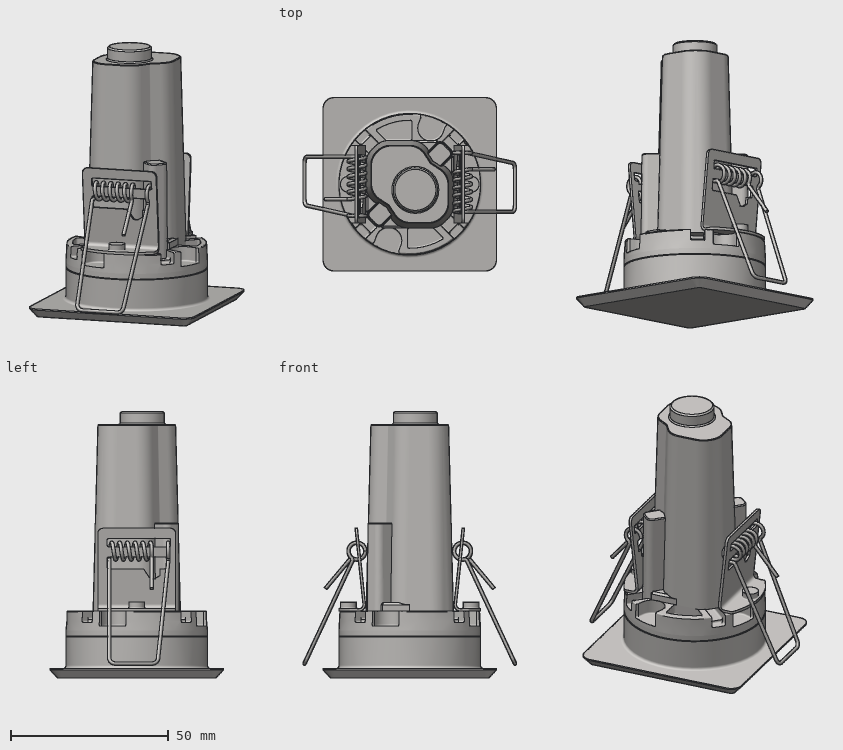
import cadquery as cq
import math

flange_size = 55.0
flange_top = 3.0
flange_edge = 0.4
flange_slope_run = 2.45
flange_corner = 3.55
ring_radius = 22.5
ring_foot_fillet = 0.9
seam_height = 13.1
seam_width = 0.25
seam_depth = 0.2
collar_height = 15.0
deck = 21.2
deck_radius = 22.1
deck_fillet = 0.3

column_top = 80.4
column_half = 12.3
column_base_half = 13.9
column_round = 5.8
column_flat_start = 9.1
notch_start = 3.1
notch_vertex = 6.8
notch_round = 0.5
notch_zone = 8.45
column_edge = 0.25
knob_offset = 1.8
knob_radius = 7.0
knob_edge = 0.5
knob_foot = 0.4
total_height = 84.5

pillar_width = 6.1
pillar_reach = 16.7
pillar_inner = 6.8
pillar_top = 49.2
pillar_draft = 0.5
pillar_round = 1.8
pillar_edge = 0.3
block_top = 23.9
block_end = 8.6
block_edge = 0.7

gate_width = 4.6
gate_floor = 17.7
gate_fillet = 0.6
gate_sill = 18.6
gate_step_radius = 19.6
gate_inner_radius = 15.2
scoop_radius = 4.1
scoop_centre_radius = 19.0
scoop_flare_radius = 20.95
scoop_mouth_half = 4.7
scoop_angle = 249.5
scoop_floor = 16.5
scoop_fillet = 0.5
tray_floor = 17.75
tray_outer_radius = 20.3
tray_start = -0.7
tray_diagonal = 6.3
tray_fillet = 0.5
tray_floor_fillet = 0.4

sheet = 0.85
bracket_half = 12.3
bracket_tilt = 6.0
bracket_foot = 14.2
bracket_top = 47.5
bracket_corner = 1.7
bend_inner = 1.2
window_half = 9.4
window_bottom = 34.65
bar_bottom = 38.45
bar_top = 41.6
window_top = 44.3
window_corner = 0.6
hook_slot_end = 10.7
bracket_foot_corner = 0.85
window_depth = 5.1
arm_notch_outline = [
    (-2.1, 34.65),
    (-4.3, 31.4),
    (-5.7, 31.4),
    (-7.4, 32.5),
    (-7.4, 34.65),
]
stud_place = 19.4
stud_radius = 2.5
stud_top = 24.1
stud_fillet = 0.3

wire_radius = 0.55
coil_x = -16.7
coil_z = 40.2
coil_radius = 2.66
coil_start_y = 8.7
coil_end_y = -4.7
coil_pitch = 2.45
coil_turns = 6
loop_angle = 155
arm_angle = 140
arm_length = 15.5
loop_length = 39.3
loop_low_y = -6.6
loop_corner = 1.95
hook_y = -10.0
hook_end_angle = -90
knee_radius = 1.0
coil_step = 30


def turned(body, angle):
    """Body turned about the vertical axis of the lamp."""
    return body.rotate((0, 0, 0), (0, 0, 1), angle)


def make_base():
    flange = (
        cq.Workplane("XY")
        .rect(flange_size, flange_size)
        .extrude(flange_top)
        .edges("|Z")
        .fillet(flange_corner)
        .faces("<Z")
        .chamfer(flange_top - flange_edge, flange_slope_run)
    )
    foot_top = flange_top + ring_foot_fillet
    groove = ring_radius - seam_depth
    ring = (
        cq.Workplane("XZ")
        .lineTo(ring_radius + ring_foot_fillet, 0)
        .lineTo(ring_radius + ring_foot_fillet, flange_top)
        .radiusArc((ring_radius, foot_top), ring_foot_fillet)
        .lineTo(ring_radius, seam_height)
        .lineTo(groove, seam_height)
        .lineTo(groove, seam_height + seam_width)
        .lineTo(ring_radius, seam_height + seam_width)
        .lineTo(ring_radius, collar_height)
        .lineTo(deck_radius, deck)
        .lineTo(0, deck)
        .close()
        .revolve(360, (0, 0, 0), (0, 1, 0))
        .faces(">Z")
        .edges()
        .fillet(deck_fillet)
    )
    return flange.union(ring)


def make_column():
    """Tapered column: a square with two flattened corners and two notched ones, all rounded."""
    top = column_half
    base = column_base_half
    height = column_top - deck
    draft = math.degrees(math.atan((base - top) / height))
    flat = column_flat_start
    column = (
        cq.Workplane("XY", origin=(0, 0, deck))
        .polyline([(base, base), (-flat, base), (-base, flat), (-base, -base), (flat, -base), (base, -flat)])
        .close()
        .extrude(height, taper=draft)
    )
    notch_side = 2 * notch_start - notch_vertex
    notch_far = 2 * top - notch_vertex
    notch = (
        cq.Workplane("XY", origin=(0, 0, column_top))
        .polyline([
            (notch_vertex, notch_vertex),
            (notch_far, notch_side),
            (notch_far, notch_far),
            (notch_side, notch_far),
        ])
        .close()
        .extrude(-height, taper=draft)
    )
    column = column.cut(notch).cut(turned(notch, 180))
    notch_bottoms = cq.selectors.BoxSelector(
        (-notch_zone, -notch_zone, deck), (notch_zone, notch_zone, column_top)
    )
    upright = cq.selectors.StringSyntaxSelector("not #Z")
    column = (
        column.edges(upright - notch_bottoms)
        .fillet(column_round)
        .edges(upright & notch_bottoms)
        .fillet(notch_round)
        .faces(">Z")
        .chamfer(column_edge)
    )
    knob = (
        cq.Workplane("XY", origin=(knob_offset, -knob_offset, column_top))
        .circle(knob_radius)
        .extrude(total_height - column_top)
        .faces(">Z")
        .chamfer(knob_edge)
    )
    foot = (
        cq.Workplane("XY", origin=(knob_offset, -knob_offset, column_top))
        .circle(knob_radius + knob_foot)
        .workplane(offset=knob_foot)
        .circle(knob_radius)
        .loft()
    )
    return column.union(knob).union(foot)


def make_pillar():
    """Pillar in the notch toward +X +Y; built along +X, then turned onto the diagonal."""
    length = pillar_reach - pillar_inner
    outline = cq.Sketch().rect(length, pillar_width).vertices(">X").fillet(pillar_round)
    pillar = (
        cq.Workplane("XY", origin=(pillar_inner + length / 2, 0, pillar_top))
        .placeSketch(outline)
        .extrude(gate_floor - pillar_top, taper=-pillar_draft)
        .faces(">Z")
        .chamfer(pillar_edge)
    )
    return turned(pillar, 45)


def make_corner_block():
    """Low filling on both sides of the pillar, flush with the column's base."""
    side = column_base_half
    return (
        cq.Workplane("XY", origin=(0, 0, deck))
        .polyline([(0, 0), (side, 0), (side, block_end), (block_end, side), (0, side)])
        .close()
        .extrude(block_top - deck)
        .faces(">Z")
        .chamfer(block_edge)
    )


def make_gate():
    """Stepped diagonal notch through the rim, cut along +X and turned into place."""
    depth = deck - gate_floor
    inner_length = gate_step_radius - gate_inner_radius
    outer_length = ring_radius - gate_step_radius
    inner = (
        cq.Workplane("XY", origin=(gate_inner_radius, 0, gate_sill))
        .rect(2 * inner_length, gate_width)
        .extrude(depth)
        .faces("<Z")
        .edges("|X")
        .fillet(gate_fillet)
    )
    outer = (
        cq.Workplane("XY", origin=(gate_step_radius + outer_length, 0, gate_floor))
        .rect(2 * outer_length, gate_width)
        .extrude(depth)
        .faces("<Z")
        .edges("not >X")
        .fillet(gate_fillet)
    )
    return turned(inner.union(outer), 45)


def make_scoop():
    """Round pocket whose outer side opens through the rim."""
    depth = deck - scoop_floor
    throat = scoop_flare_radius - scoop_centre_radius
    mouth_end = ring_radius - scoop_centre_radius
    place = (scoop_centre_radius, 0, scoop_floor)
    well = cq.Workplane("XY", origin=place).circle(scoop_radius).extrude(depth)
    mouth = (
        cq.Workplane("XY", origin=place)
        .polyline([
            (0, -scoop_radius),
            (throat, -scoop_radius),
            (mouth_end, -scoop_mouth_half),
            (mouth_end, scoop_mouth_half),
            (throat, scoop_radius),
            (0, scoop_radius),
        ])
        .close()
        .extrude(depth)
    )
    scoop = well.union(mouth).faces("<Z").edges("not >X").fillet(scoop_fillet)
    return turned(scoop, scoop_angle)


def make_tray():
    """Curved pocket in the deck between the column's -Y side and the rim."""
    side = -column_base_half
    depth = deck - tray_floor
    outer = -tray_outer_radius
    wedge = (
        cq.Workplane("XY", origin=(0, 0, tray_floor))
        .polyline([
            (tray_start, side),
            (-tray_diagonal - side, side),
            (-tray_diagonal - outer, outer),
            (tray_start, outer),
        ])
        .close()
        .extrude(depth)
    )
    disc = cq.Workplane("XY", origin=(0, 0, tray_floor)).circle(tray_outer_radius).extrude(depth)
    tray = wedge.intersect(disc).edges("|Z").fillet(tray_fillet)
    return tray.faces("<Z").edges().fillet(tray_floor_fillet)


def make_housing():
    housing = make_base()
    gate = make_gate()
    scoop = make_scoop()
    tray = make_tray()
    for quarter in range(4):
        housing = housing.cut(turned(gate, 90 * quarter))
        housing = housing.cut(turned(scoop, 90 * quarter))
    for half_turn in (0, 180):
        housing = housing.cut(turned(tray, half_turn))
    housing = housing.union(make_column())
    for half_turn in (0, 180):
        housing = housing.union(turned(make_corner_block(), half_turn))
        housing = housing.union(turned(make_pillar(), half_turn))
    return housing


def make_bracket():
    """Bent sheet on the -X side: a foot on the deck, a leaning wall and a stud."""
    lean = math.tan(math.radians(bracket_tilt))
    half_sheet = sheet / 2 / math.cos(math.radians(bracket_tilt))

    def wall_x(z):
        return -bracket_foot - (z - deck) * lean

    foot_top = deck + sheet
    bend_outer = bend_inner + sheet
    sheet_body = (
        cq.Workplane("XZ")
        .moveTo(-ring_radius, deck)
        .lineTo(wall_x(deck) + half_sheet, deck)
        .lineTo(wall_x(bracket_top) + half_sheet, bracket_top)
        .lineTo(wall_x(bracket_top) - half_sheet, bracket_top)
        .lineTo(wall_x(foot_top) - half_sheet, foot_top)
        .lineTo(-ring_radius, foot_top)
        .close()
        .extrude(bracket_half, both=True)
    )
    outer_bend = sheet_body.faces("<Z").edges(">X")
    sheet_body = outer_bend.fillet(bend_outer)
    inner_bend = cq.selectors.NearestToPointSelector((wall_x(foot_top) - half_sheet, 0, foot_top))
    sheet_body = sheet_body.edges("|Y").edges(inner_bend).fillet(bend_inner)
    sheet_body = sheet_body.faces(">Z").edges("|X").fillet(bracket_corner)

    rim = cq.Workplane("XY", origin=(0, 0, deck)).circle(ring_radius).extrude(bracket_top)
    sheet_body = sheet_body.intersect(rim).edges("|Z").fillet(bracket_foot_corner)
    return sheet_body.cut(make_window()).union(make_stud())


def make_window():
    """Opening in the leaning wall, leaving a bar across it for the coil."""
    wall = cq.Workplane("YZ", origin=(-bracket_foot, 0, 0))

    def slot(y_low, y_high, z_low, z_high):
        middle = ((y_low + y_high) / 2, (z_low + z_high) / 2)
        return (
            wall.center(*middle)
            .rect(y_high - y_low, z_high - z_low)
            .extrude(-window_depth)
            .edges("|X")
            .fillet(window_corner)
        )

    above_bar = slot(-hook_slot_end, window_half, bar_top, window_top)
    below_bar = slot(-window_half, window_half, window_bottom, bar_bottom)
    arm_notch = wall.polyline(arm_notch_outline).close().extrude(-window_depth)
    return above_bar.union(below_bar).union(arm_notch)


def make_stud():
    root = deck + sheet
    profile = (
        cq.Workplane("XZ")
        .moveTo(0, deck)
        .lineTo(stud_radius, deck)
        .lineTo(stud_radius, root)
        .lineTo(stud_radius + stud_fillet, root)
        .radiusArc((stud_radius, root + stud_fillet), stud_fillet)
        .lineTo(stud_radius, stud_top)
        .lineTo(0, stud_top)
        .close()
    )
    stud = profile.revolve(360, (0, 0, 0), (0, 1, 0))
    return stud.translate((-stud_place, 0, 0))


def outward(angle):
    """Unit direction from the coil axis, turned from straight up toward -X."""
    turn = math.radians(angle)
    return cq.Vector(-math.sin(turn), 0, math.cos(turn))


def coil_place(distance, angle, y):
    return cq.Vector(coil_x, y, coil_z) + outward(angle) * distance


def rounded_corner(before, corner, after, radius):
    """Start and end of the arc that rounds a corner of the wire, and the direction going in."""
    going_in = (corner - before).normalized()
    going_out = (after - corner).normalized()
    cut_back = radius * math.tan(going_in.getAngle(going_out) / 2)
    return corner - going_in * cut_back, corner + going_out * cut_back, going_in


def coil_y(angle, first_angle, last_angle):
    """Position along the axis: an even pitch with a flat stretch at each end."""
    travel = (coil_start_y - coil_end_y) / coil_pitch * 360
    flat = (last_angle - first_angle - travel) / 2
    advance = min(max(angle - first_angle - flat, 0), travel)
    return coil_start_y - coil_pitch * advance / 360


def make_turns(first_angle, last_angle, y_at):
    """Curve round the coil axis between two angles, with its directions at both ends."""
    steps = round((last_angle - first_angle) / coil_step)
    angles = [first_angle + (last_angle - first_angle) * step / steps for step in range(steps + 1)]
    start_way = outward(first_angle + 90)
    end_way = outward(last_angle + 90)
    curve = cq.Edge.makeSpline(
        [coil_place(coil_radius, angle, y_at(angle)) for angle in angles],
        tangents=[start_way * coil_radius, end_way * coil_radius],
        parameters=[math.radians(angle) for angle in angles],
        scale=False,
    )
    return curve, start_way, end_way


def make_spring():
    """Spring on the -X side: hook, slanted leg, crossbar, straight leg, coil and short arm."""
    knee_offset = coil_radius + knee_radius
    knee_turn = math.degrees(math.asin(knee_radius / knee_offset))
    knee_reach = math.sqrt(knee_offset**2 - knee_radius**2)
    loop_way = outward(loop_angle)

    hook_knee = coil_place(knee_reach, loop_angle, hook_y)
    coil_knee = coil_place(knee_reach, loop_angle, coil_start_y)
    arm_knee = coil_place(knee_reach, arm_angle, coil_end_y)
    arm_tip = coil_place(arm_length, arm_angle, coil_end_y)
    slanted_corner = coil_place(loop_length, loop_angle, loop_low_y)
    square_corner = coil_place(loop_length, loop_angle, coil_start_y)

    hook_last = loop_angle - knee_turn
    hook, hook_start_way, hook_end_way = make_turns(hook_end_angle, hook_last, lambda angle: hook_y)
    first_angle = loop_angle + knee_turn
    last_angle = 360 * coil_turns + arm_angle - knee_turn
    coil, coil_start_way, coil_end_way = make_turns(
        first_angle, last_angle, lambda angle: coil_y(angle, first_angle, last_angle)
    )

    slanted_in, slanted_out, slanted_way = rounded_corner(
        hook_knee, slanted_corner, square_corner, loop_corner
    )
    square_in, square_out, crossbar_way = rounded_corner(
        slanted_corner, square_corner, coil_knee, loop_corner
    )
    path = cq.Wire.assembleEdges([
        hook,
        cq.Edge.makeSpline([hook.endPoint(), hook_knee], tangents=[hook_end_way, slanted_way]),
        cq.Edge.makeLine(hook_knee, slanted_in),
        cq.Edge.makeTangentArc(slanted_in, slanted_way, slanted_out),
        cq.Edge.makeLine(slanted_out, square_in),
        cq.Edge.makeTangentArc(square_in, crossbar_way, square_out),
        cq.Edge.makeLine(square_out, coil_knee),
        cq.Edge.makeTangentArc(coil_knee, -loop_way, coil.startPoint()),
        coil,
        cq.Edge.makeTangentArc(coil.endPoint(), coil_end_way, arm_knee),
        cq.Edge.makeLine(arm_knee, arm_tip),
    ])
    start = cq.Plane(origin=hook.startPoint(), xDir=(0, 1, 0), normal=hook_start_way)
    return cq.Workplane(start).circle(wire_radius).sweep(cq.Workplane(path))


housing = make_housing()
brackets = [turned(make_bracket(), angle) for angle in (0, 180)]
springs = [turned(make_spring(), angle) for angle in (0, 180)]
result = cq.Compound.makeCompound([part.val() for part in [housing, *brackets, *springs]])